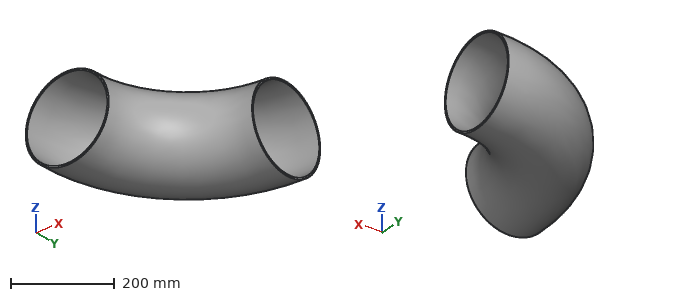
import cadquery as cq

overall_length = 404.0
pipe_diameter = 208.0
wall_thickness = 4.0
bend_angle = 90.0

pipe_radius = pipe_diameter / 2
bore_radius = pipe_radius - wall_thickness
bend_radius = overall_length - pipe_radius

ring_section = (
    cq.Workplane("XZ")
    .center(-bend_radius, 0)
    .circle(pipe_radius)
    .circle(bore_radius)
)

axis_start = (bend_radius, 0)
axis_end = (bend_radius, -1)
result = ring_section.revolve(bend_angle, axis_start, axis_end)